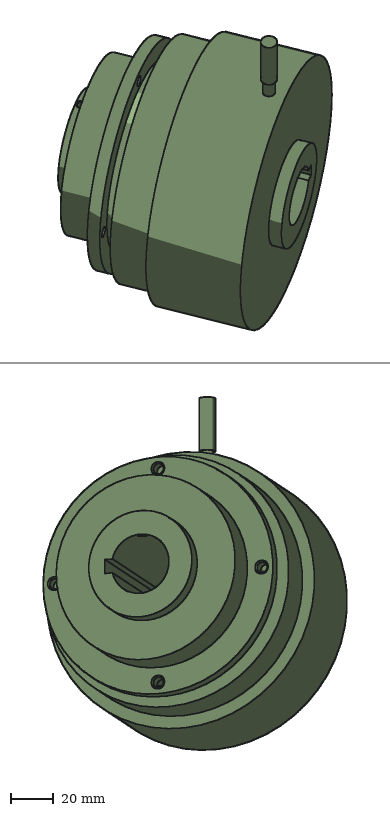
import cadquery as cq

hub_front = 0.0
collar_front = 7.7
flange_front = 25.3
cone_front = 31.5
shoulder_front = 37.9
drum_front = 57.7
drum_back = 104.6
hub_back = 111.0

hub_diameter = 51.3
collar_diameter = 89.0
flange_diameter = 114.3
cone_small_diameter = 93.5
cone_large_diameter = 101.0
shoulder_diameter = 121.4
drum_diameter = 133.3

bore_diameter = 28.5
keyway_width = 6.7
keyway_reach = 17.6

flange_hole_diameter = 5.0
flange_hole_mouth = 6.5
flange_hole_circle = 103.1
flange_hole_count = 4
screw_hole_diameter = 4.0
screw_hole_mouth = 5.0
screw_hole_x = 2.8

pin_x = 96.0
pin_diameter = 6.0
grip_diameter = 7.7
grip_length = 25.5
overall_height = 167.6
pin_top = overall_height - drum_diameter / 2
pin_embed = 3.4


def turned_section(start, end, start_diameter, end_diameter):
    """Solid of revolution about X, straight or tapered."""
    return (
        cq.Workplane("XY")
        .moveTo(start, 0)
        .lineTo(start, start_diameter / 2)
        .lineTo(end, end_diameter / 2)
        .lineTo(end, 0)
        .close()
        .revolve(360, (0, 0, 0), (1, 0, 0))
    )


def tapped_hole(mouth, direction, depth, core_diameter, mouth_diameter):
    """Cutter for a hole whose mouth has a 45 degree countersink."""
    sink_depth = (mouth_diameter - core_diameter) / 2
    core = cq.Solid.makeCylinder(core_diameter / 2, depth, mouth, direction)
    sink = cq.Solid.makeCone(mouth_diameter / 2, core_diameter / 2, sink_depth, mouth, direction)
    return core.fuse(sink)


sections = [
    (collar_front, flange_front, collar_diameter, collar_diameter),
    (flange_front, cone_front, flange_diameter, flange_diameter),
    (cone_front, shoulder_front, cone_small_diameter, cone_large_diameter),
    (shoulder_front, drum_front, shoulder_diameter, shoulder_diameter),
    (drum_front, drum_back, drum_diameter, drum_diameter),
]
body = turned_section(hub_front, hub_back, hub_diameter, hub_diameter)
for section in sections:
    body = body.union(turned_section(*section))

bore = turned_section(hub_front, hub_back, bore_diameter, bore_diameter)
keyway = cq.Workplane("XY").box(
    hub_back - hub_front, keyway_reach, keyway_width, centered=(False, False, True)
)
body = body.cut(bore).cut(keyway)

flange_hole = tapped_hole(
    cq.Vector(flange_front, 0, flange_hole_circle / 2),
    cq.Vector(1, 0, 0),
    cone_front - flange_front,
    flange_hole_diameter,
    flange_hole_mouth,
)
for index in range(flange_hole_count):
    angle = index * 360 / flange_hole_count
    turned_hole = flange_hole.rotate(cq.Vector(0, 0, 0), cq.Vector(1, 0, 0), angle)
    body = body.cut(cq.Workplane(turned_hole))

screw_hole = tapped_hole(
    cq.Vector(screw_hole_x, 0, hub_diameter / 2),
    cq.Vector(0, 0, -1),
    hub_diameter / 2,
    screw_hole_diameter,
    screw_hole_mouth,
)
body = body.cut(cq.Workplane(screw_hole))

pin_root = drum_diameter / 2 - pin_embed
grip_bottom = pin_top - grip_length
pin = cq.Workplane("XY", origin=(pin_x, 0, pin_root)).circle(pin_diameter / 2).extrude(grip_bottom - pin_root)
grip = cq.Workplane("XY", origin=(pin_x, 0, grip_bottom)).circle(grip_diameter / 2).extrude(grip_length)

result = body.union(pin).union(grip)